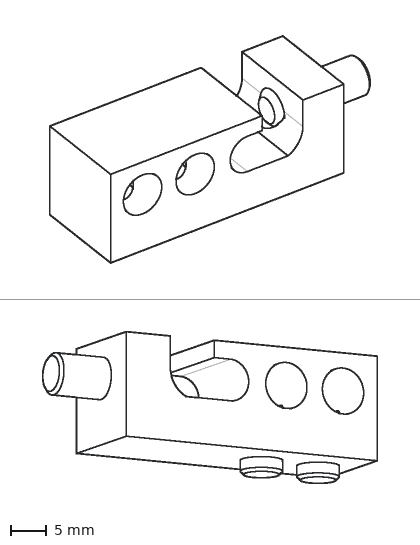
import cadquery as cq
import math

block_side = 15.0
overall_length = 48.0
end_screw_stickout = 8.0
block_length = overall_length - end_screw_stickout
axis_height = 9.5

screw_diameter = 6.0
screw_radius = screw_diameter / 2
screw_chamfer = 0.5

slot_radius = 3.0
slot_floor = axis_height - slot_radius
slot_ceiling = axis_height + slot_radius
slot_end_center_y = 23.45
mouth_front_y = 25.95
mouth_width = 7.0
mouth_back_y = mouth_front_y + mouth_width
corner_run = 2.55
corner_rise = 4.0

bore_diameter = 6.6
first_bore_y = 5.45
bore_spacing = 9.0
bore_positions = [first_bore_y, first_bore_y + bore_spacing]
clamp_screw_stickout = 2.0
clamp_screw_reach = 6.0

end_screw_tip = 1.0
end_screw_start_y = mouth_back_y - end_screw_tip
pilot_radius = 2.5
end_screw_length = overall_length - end_screw_start_y


def make_slot():
    corner_radius = (corner_run**2 + corner_rise**2) / (2 * corner_run)
    half_sweep = math.asin(corner_rise / corner_radius) / 2
    corner_middle = (
        mouth_back_y - corner_radius * (1 - math.cos(half_sweep)),
        slot_floor + corner_rise - corner_radius * math.sin(half_sweep),
    )
    return (
        cq.Workplane("YZ")
        .moveTo(mouth_front_y, block_side)
        .lineTo(mouth_front_y, slot_ceiling)
        .lineTo(slot_end_center_y, slot_ceiling)
        .threePointArc((slot_end_center_y - slot_radius, axis_height), (slot_end_center_y, slot_floor))
        .lineTo(mouth_back_y - corner_run, slot_floor)
        .threePointArc(corner_middle, (mouth_back_y, slot_floor + corner_rise))
        .lineTo(mouth_back_y, block_side)
        .close()
        .extrude(block_side / 2, both=True)
    )


def make_cross_bores():
    return (
        cq.Workplane("YZ")
        .pushPoints([(y, axis_height) for y in bore_positions])
        .circle(bore_diameter / 2)
        .extrude(block_side / 2, both=True)
    )


def make_clamp_screw_holes():
    return (
        cq.Workplane("XY")
        .pushPoints([(0, y) for y in bore_positions])
        .circle(screw_radius)
        .extrude(axis_height)
    )


def make_pilot_hole():
    return (
        cq.Workplane("XZ", origin=(0, block_length, axis_height))
        .circle(pilot_radius)
        .extrude(block_length - mouth_front_y)
    )


def make_block():
    body = cq.Workplane("XY").box(block_side, block_length, block_side, centered=(True, False, False))
    return (
        body.cut(make_slot())
        .cut(make_cross_bores())
        .cut(make_clamp_screw_holes())
        .cut(make_pilot_hole())
        .cut(make_end_screw())
    )


def make_end_screw():
    return (
        cq.Workplane("XZ", origin=(0, overall_length, axis_height))
        .circle(screw_radius)
        .extrude(end_screw_length)
        .faces(">Y").chamfer(screw_chamfer)
        .faces("<Y").chamfer(end_screw_tip)
    )


def make_clamp_screw(y):
    return (
        cq.Workplane("XY", origin=(0, y, -clamp_screw_stickout))
        .circle(screw_radius)
        .extrude(clamp_screw_stickout + clamp_screw_reach)
        .faces("<Z").chamfer(screw_chamfer)
    )


block = make_block()
end_screw = make_end_screw()
clamp_screws = [make_clamp_screw(y) for y in bore_positions]

result = cq.Compound.makeCompound(
    [block.val(), end_screw.val(), *[screw.val() for screw in clamp_screws]]
)